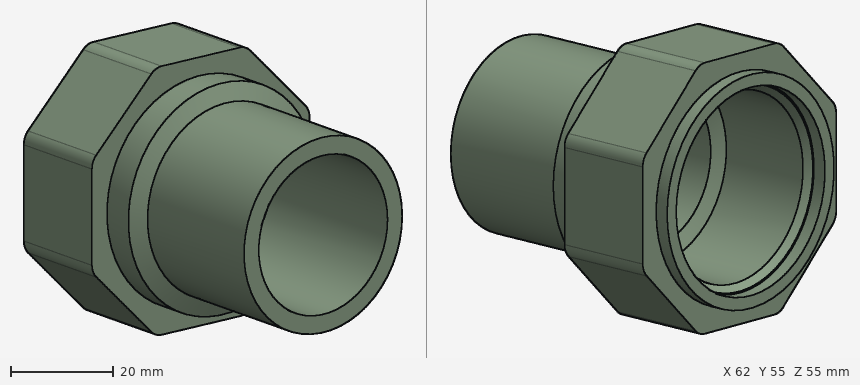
import cadquery as cq

total_length = 62.0
nut_start = 3.0
nut_end = 24.1
collar_end = 30.75
taper_end = 32.1

across_flats = 55.0
nut_corner_radius = 3.7
collar_diameter = 47.4
pipe_diameter = 40.0

mouth_diameter = 42.3
lead_in_diameter = 41.65
socket_diameter = 38.95
bore_diameter = 32.55
mouth_depth = 3.0
socket_depth = 25.05
bore_start = 26.2


def revolve_about_x(profile):
    """Revolve a closed (x, radius) profile about the X axis."""
    return cq.Workplane("XY").polyline(profile).close().revolve(360, (0, 0, 0), (1, 0, 0))


def octagonal_nut():
    """Octagon with flats facing Y and Z and rounded edges along X."""
    square = cq.Workplane("YZ").workplane(offset=nut_start).rect(across_flats, across_flats)
    nut = square.extrude(nut_end - nut_start)
    turned_square = nut.rotate((0, 0, 0), (1, 0, 0), 45)
    return nut.intersect(turned_square).edges("|X").fillet(nut_corner_radius)


def outer_body():
    """Collar tapering down to the plain pipe end."""
    return revolve_about_x([
        (0, 0),
        (0, collar_diameter / 2),
        (collar_end, collar_diameter / 2),
        (taper_end, pipe_diameter / 2),
        (total_length, pipe_diameter / 2),
        (total_length, 0),
    ])


def stepped_bore():
    """Through bore with a recessed mouth and a wider socket at the nut end."""
    lead_in_end = mouth_depth + (lead_in_diameter - socket_diameter) / 2
    return revolve_about_x([
        (0, 0),
        (0, mouth_diameter / 2),
        (mouth_depth, mouth_diameter / 2),
        (mouth_depth, lead_in_diameter / 2),
        (lead_in_end, socket_diameter / 2),
        (socket_depth, socket_diameter / 2),
        (bore_start, bore_diameter / 2),
        (total_length, bore_diameter / 2),
        (total_length, 0),
    ])


result = outer_body().union(octagonal_nut()).cut(stepped_bore())